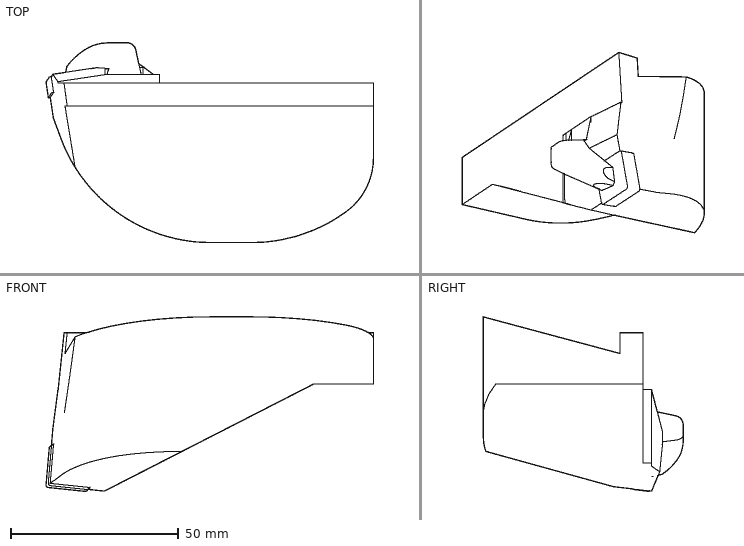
import cadquery as cq
import math


def tan_deg(angle):
    return math.tan(math.radians(angle))


holder_end = 98.0
outline_radius = 47.8
left_arc_center = 49.3
right_arc_center = 61.5
corner_radius = 20.0
arc_end_y = -16.6

ledge_width = 7.0
ledge_step = 6.2
top_slope = 15.0
shank_depth = 15.4
ramp_start = 80.1
ramp_slope = 27.1
holder_floor = -58.8
holder_roof = 9.8

insert_corner = (-0.064, 0.1, -46.3)
insert_side = 12.6
insert_thickness = 4.8
insert_nose_radius = 0.8
side_lean = 6.0
side_relief = 8.5
bottom_relief = 7.0
side_setback = 0.6
bottom_setback = 0.7
second_relief = 9.6
second_relief_depth = 11.8

seat_top = -17.0
seat_rise = 2.5
seat_end = 34.0
seat_shoulder = 32.1
seat_flank = (26.95, 6.4)
notch_start = 17.6
notch_floor = -24.7
seat_root = -2.9
seat_left_y = -0.2
seat_left_slope = 12.0
seat_back_slope = 14.5

clamp_taper = 12.0
clamp_nose = 5.2
clamp_bottom = -43.6
clamp_flank_foot = -37.6
clamp_bottom_end = 11.8
clamp_end = 29.0
clamp_end_foot = -33.3
clamp_shoulder = 19.4
clamp_top = -22.7
clamp_corner_radius = 4.9
clamp_peak = 12.1
clamp_reach = 39.2
crown_base = 6.4
clamp_edge_radius = 2.9
crown_start = (1, 1.5)
crown_points = [(2.0, 3.4), (6.0, 7.7), (10.3, 10.3), (19.6, clamp_peak)]

reach = 294.0
margin = 1.0

rake_normal = cq.Vector(-tan_deg(side_relief), 1, -tan_deg(bottom_relief))
edge_direction = cq.Vector(
    1,
    tan_deg(side_relief) - tan_deg(bottom_relief) * tan_deg(side_lean),
    -tan_deg(side_lean),
)
insert_plane = cq.Plane(origin=insert_corner, xDir=edge_direction, normal=rake_normal)


def half_space(point, normal):
    """Large block filling the side of a plane that its normal points away from."""
    plane = cq.Plane(origin=point, normal=normal)
    return cq.Workplane(plane).rect(reach, reach).extrude(-reach)


def footprint():
    """Outline with two equal large arcs, a smaller blend at the right and a straight left flank."""
    blend_reach = outline_radius - corner_radius
    blend_x = holder_end - corner_radius
    blend_dx = blend_x - right_arc_center
    blend_y = -math.sqrt(blend_reach**2 - blend_dx**2)
    arc_ratio = outline_radius / blend_reach
    blend_start = (right_arc_center + blend_dx * arc_ratio, blend_y * arc_ratio)
    arc_end_dx = math.sqrt(outline_radius**2 - arc_end_y**2)
    arc_end = (left_arc_center - arc_end_dx, arc_end_y)
    flank_foot = (arc_end[0] - arc_end_y**2 / arc_end_dx, 0)
    return (
        cq.Workplane("XY", origin=(0, 0, holder_floor))
        .moveTo(*flank_foot)
        .lineTo(holder_end, 0)
        .lineTo(holder_end, blend_y)
        .tangentArcPoint(blend_start, relative=False)
        .tangentArcPoint((right_arc_center, -outline_radius), relative=False)
        .lineTo(left_arc_center, -outline_radius)
        .tangentArcPoint(arc_end, relative=False)
        .close()
        .extrude(holder_roof - holder_floor)
    )


def side_profile():
    """Ledge, step and sloping top, as a prism along X."""
    front = -outline_radius - margin
    slope_rise = (-front - ledge_width) * tan_deg(top_slope)
    return (
        cq.Workplane("YZ")
        .moveTo(0, 0)
        .lineTo(-ledge_width, 0)
        .lineTo(-ledge_width, -ledge_step)
        .lineTo(front, slope_rise - ledge_step)
        .lineTo(front, holder_floor)
        .lineTo(0, holder_floor)
        .close()
        .extrude(reach, both=True)
    )


def seat_block():
    """Raised seat with two leaning faces and a notch beside the end of the clamp."""
    block = (
        cq.Workplane("XY", origin=(0, 0, holder_floor))
        .moveTo(0, seat_root)
        .lineTo(seat_end, seat_root)
        .lineTo(seat_end, seat_rise)
        .lineTo(seat_shoulder, seat_rise)
        .lineTo(*seat_flank)
        .lineTo(0, seat_flank[1])
        .close()
        .extrude(seat_top - holder_floor)
    )
    left_face = half_space(
        (0, seat_left_y, seat_top), (-tan_deg(side_relief), 1, tan_deg(seat_left_slope))
    )
    back_face = half_space((0, seat_rise, seat_top), (0, 1, tan_deg(seat_back_slope)))
    notch = (
        cq.Workplane("XY", origin=(0, 0, notch_floor))
        .moveTo(notch_start, seat_rise)
        .lineTo(clamp_end, seat_rise)
        .lineTo(clamp_end, seat_flank[1])
        .lineTo(notch_start, seat_flank[1])
        .close()
        .extrude(seat_top - notch_floor)
    )
    return block.intersect(left_face).intersect(back_face).cut(notch)


def front_profile():
    """Flat shank underside that turns into a ramp towards the cutting end, as a prism along Y."""
    ramp_bottom = -shank_depth - ramp_start * tan_deg(ramp_slope)
    return (
        cq.Workplane("XZ")
        .moveTo(holder_end, holder_roof)
        .lineTo(holder_end, -shank_depth)
        .lineTo(ramp_start, -shank_depth)
        .lineTo(0, ramp_bottom)
        .lineTo(0, holder_roof)
        .close()
        .extrude(reach, both=True)
    )


def cutting_faces():
    """Block bounded by the rake face, the outer side and the two relief faces."""
    lower = -bottom_setback
    break_z = -second_relief_depth
    far_z = break_z - reach
    far_y = lower - reach * tan_deg(second_relief)
    return (
        cq.Workplane(
            cq.Plane(
                origin=insert_plane.toWorldCoords((side_setback, 0, 0)),
                xDir=insert_plane.yDir,
                normal=insert_plane.xDir,
            )
        )
        .polyline([(lower, 0), (lower, break_z), (far_y, far_z), (-reach, far_z), (-reach, 0)])
        .close()
        .extrude(reach)
    )


def clamp_bar():
    """Six-sided bar that tapers away from the seat, with the corner above its flank rounded."""
    corner = cq.selectors.NearestToPointSelector((clamp_shoulder, clamp_peak / 2, clamp_top))
    return (
        cq.Workplane("XZ")
        .moveTo(clamp_nose, clamp_flank_foot)
        .lineTo(clamp_nose, clamp_bottom)
        .lineTo(clamp_bottom_end, clamp_bottom)
        .lineTo(clamp_end, clamp_end_foot)
        .lineTo(clamp_end, clamp_top)
        .lineTo(clamp_shoulder, clamp_top)
        .close()
        .extrude(-clamp_peak - margin, taper=clamp_taper)
        .edges(corner)
        .fillet(clamp_corner_radius)
    )


def clamp():
    """Bar whose crown rises along the diagonal from the nose and levels out at the tail."""
    diagonal = cq.Plane(
        origin=(clamp_nose, 0, clamp_bottom), xDir=(1, 0, 1), normal=(-1, 0, 1)
    )
    crown = (
        cq.Workplane(diagonal)
        .moveTo(0, -margin)
        .lineTo(*crown_points[0])
        .spline(crown_points[1:], tangents=[crown_start, (1, 0)], includeCurrent=True)
        .lineTo(clamp_reach, clamp_peak)
        .lineTo(clamp_reach, -margin)
        .close()
        .extrude(clamp_reach, both=True)
    )
    crown_edges = cq.selectors.BoxSelector((-reach, crown_base, -reach), (reach, reach, reach))
    return clamp_bar().intersect(crown).edges(crown_edges).fillet(clamp_edge_radius)


def make_insert():
    """Square plate with rounded corners, its outer face on the rake plane."""
    return (
        cq.Workplane(insert_plane)
        .rect(insert_side, -insert_side, centered=False)
        .extrude(-insert_thickness)
        .edges(cq.selectors.ParallelDirSelector(rake_normal))
        .fillet(insert_nose_radius)
    )


insert = make_insert()
body = footprint().intersect(side_profile()).union(seat_block())
body = body.intersect(front_profile()).intersect(cutting_faces())
holder = body.union(clamp()).cut(insert)

result = cq.Compound.makeCompound([holder.val(), insert.val()])